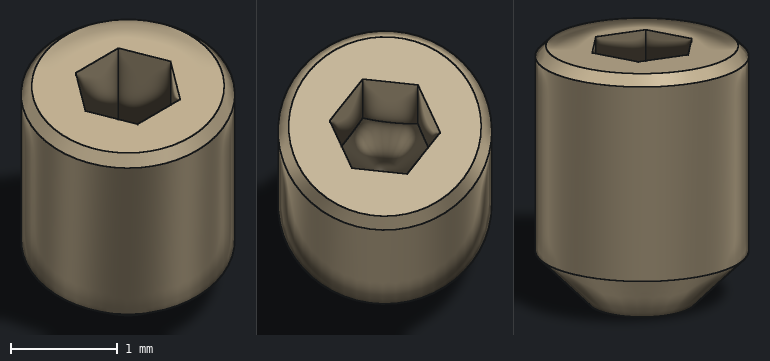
import cadquery as cq
import math

height = 2.5
radius = 1.0
top_chamfer = 0.1
tip_radius = 0.5
tip_height = 0.5

socket_across_flats = 0.9
socket_depth = 1.0
floor_cone_angle = 120.0

socket_corner_radius = socket_across_flats / 2 / math.cos(math.pi / 6)
floor_cone_depth = socket_corner_radius / math.tan(math.radians(floor_cone_angle / 2))


def make_body():
    """Revolve the half profile, from the flat tip up to the chamfered top."""
    return (
        cq.Workplane("XZ")
        .moveTo(0, 0)
        .lineTo(tip_radius, 0)
        .lineTo(radius, tip_height)
        .lineTo(radius, height - top_chamfer)
        .lineTo(radius - top_chamfer, height)
        .lineTo(0, height)
        .close()
        .revolve(360, (0, 0, 0), (0, 1, 0))
    )


def make_socket():
    """Hexagon with corners on the X axis, trimmed below by a drill-point cone."""
    floor_rim_z = height - socket_depth
    apex_z = floor_rim_z - floor_cone_depth
    hexagon = (
        cq.Workplane("XY")
        .workplane(offset=apex_z)
        .polygon(6, 2 * socket_corner_radius)
        .extrude(height - apex_z)
    )
    drill = (
        cq.Workplane("XZ")
        .moveTo(0, apex_z)
        .lineTo(socket_corner_radius, floor_rim_z)
        .lineTo(socket_corner_radius, height)
        .lineTo(0, height)
        .close()
        .revolve(360, (0, 0, 0), (0, 1, 0))
    )
    return hexagon.intersect(drill)


result = make_body().cut(make_socket())